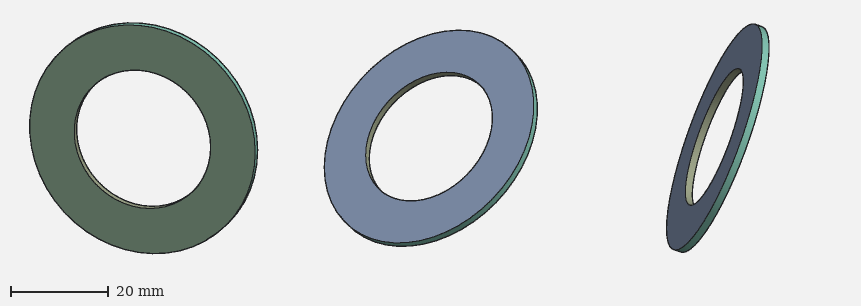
import cadquery as cq

outer_diameter = 49.0
bore_diameter = 29.6
thickness = 1.55

result = (
    cq.Workplane("XZ", origin=(0, thickness / 2, 0))
    .circle(outer_diameter / 2)
    .circle(bore_diameter / 2)
    .extrude(thickness)
)